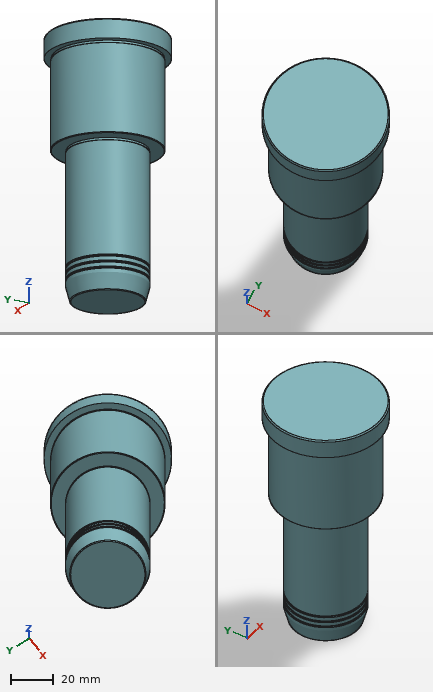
import cadquery as cq
import math

total_length = 131.0
head_radius = 30.0
head_height = 10.0
head_chamfer = 0.7
body_radius = 27.0
body_bottom = 75.0
body_chamfer = 0.4
shaft_radius = 19.98

relief_height = 1.2
relief_depth = 0.3

groove_width = 1.0
groove_floor_width = 0.4
groove_depth = 0.4
groove_pitch = 3.0
lowest_groove_bottom = 10.0
groove_count = 3

taper_height = 8.0
taper_angle = 15.0
tip_chamfer = 0.4

head_bottom = total_length - head_height
tip_radius = shaft_radius - taper_height * math.tan(math.radians(taper_angle))


def cylinder(radius, bottom, top):
    return cq.Workplane("XY").workplane(offset=bottom).circle(radius).extrude(top - bottom)


def ring_cut(radius, depth, bottom, height):
    """Ring that cuts a groove of the given depth into a cylinder."""
    sketch = cq.Workplane("XY").workplane(offset=bottom).circle(radius + depth)
    return sketch.circle(radius - depth).extrude(height)


def ring_groove(bottom):
    """Trapezoidal groove around the shaft, revolved about the pin axis."""
    middle = bottom + groove_width / 2
    floor_radius = shaft_radius - groove_depth
    profile = [
        (shaft_radius, middle - groove_width / 2),
        (floor_radius, middle - groove_floor_width / 2),
        (floor_radius, middle + groove_floor_width / 2),
        (shaft_radius, middle + groove_width / 2),
    ]
    return cq.Workplane("XZ").polyline(profile).close().revolve(360, (0, 0, 0), (0, 1, 0))


head = cylinder(head_radius, head_bottom, total_length).faces(">Z").edges().chamfer(head_chamfer)
body = cylinder(body_radius, body_bottom, head_bottom).faces("<Z").edges().chamfer(body_chamfer)
shaft = cylinder(shaft_radius, taper_height, body_bottom)

tip = (
    cq.Workplane("XY").circle(tip_radius)
    .workplane(offset=taper_height).circle(shaft_radius)
    .loft(ruled=True)
    .faces("<Z").edges().chamfer(tip_chamfer)
)

result = head.union(body).union(shaft).union(tip)

for radius, shoulder in ((body_radius, head_bottom), (shaft_radius, body_bottom)):
    result = result.cut(ring_cut(radius, relief_depth, shoulder - relief_height, relief_height))

for index in range(groove_count):
    result = result.cut(ring_groove(lowest_groove_bottom + index * groove_pitch))